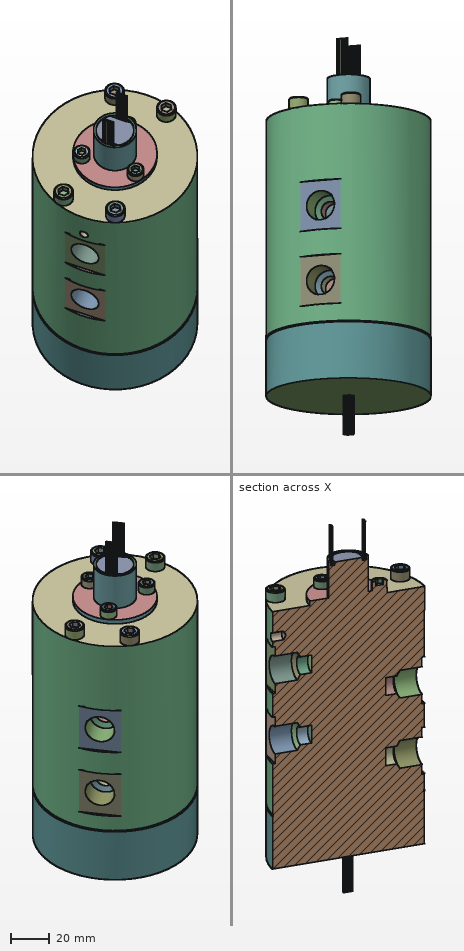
import cadquery as cq
import math

BODY_RADIUS = 43.0
BODY_HEIGHT = 146.6
BASE_HEIGHT = 30.1
JOINT_WIDTH = 0.6
JOINT_DEPTH = 0.5

FLANGE_DIAMETER = 44
FLANGE_HEIGHT = 2.5
SLEEVE_DIAMETER = 22.4
SLEEVE_BORE = 19.7
SLEEVE_HEIGHT = 20.3
WIRE_SLOT_DEPTH = 2
PLUG_RECESS = 0.5
PLUG_HALF_WIDTH = 8.0

BODY_BOLT_CIRCLE = 76.1
BODY_BOLT_ANGLES = (67.5, 112.5, 247.5, 292.5)
BODY_HEAD_DIAMETER = 10.0
BODY_HEAD_HEIGHT = 6.0
BODY_SOCKET_FLATS = 5.0
FLANGE_BOLT_CIRCLE = 35.0
FLANGE_BOLT_ANGLES = (90, 210, 330)
FLANGE_HEAD_DIAMETER = 8.5
FLANGE_HEAD_HEIGHT = 5.0
FLANGE_SOCKET_FLATS = 4.0
HEAD_CHAMFER = 0.6

PORT_SPACING = 40.0
FRONT_PORT_DROP = 33.5
BACK_PORT_DROP = FRONT_PORT_DROP + PORT_SPACING / 2
PAD_WIDTH = 22.4
PAD_HEIGHT = 26.4
PAD_DISTANCE = math.sqrt(BODY_RADIUS**2 - (PAD_WIDTH / 2) ** 2)
PORT_DIAMETER = 15.5
PORT_DEPTH = 12.5
PASSAGE_DIAMETER = 9.8
PASSAGE_DEPTH = 6.3
DRILL_POINT_ANGLE = 118

PIN_HOLE_DIAMETER = 4.5
PIN_HOLE_DEPTH = 6.3
PIN_HOLE_DROP = 14.6

WIRE_DIAMETER = 0.8
WIRE_PITCH = 0.88
ROW_COUNT = 7
ROW_OFFSET = 9.2
TOP_WIRE_LENGTH = 19.7
BOTTOM_WIRE_LENGTH = 20.0

FLANGE_TOP = BODY_HEIGHT + FLANGE_HEIGHT
SLEEVE_TOP = FLANGE_TOP + SLEEVE_HEIGHT


def cylinder(diameter, height, bottom):
    """Vertical cylinder on the body axis."""
    return cq.Workplane("XY").workplane(offset=bottom).circle(diameter / 2).extrude(height)


def drill_point_length(large_diameter, small_diameter=0):
    """Axial length of a drill point between two diameters."""
    step = (large_diameter - small_diameter) / 2
    return step / math.tan(math.radians(DRILL_POINT_ANGLE / 2))


def front_bore(profile, z):
    """Round cutter along +Y from its half profile of (radius, y) points."""
    return (
        cq.Workplane("XY")
        .polyline(profile)
        .close()
        .revolve(360, (0, 0), (0, 1))
        .translate((0, 0, z))
    )


def make_body():
    body = cylinder(2 * BODY_RADIUS, BODY_HEIGHT, 0)
    groove = cylinder(2 * BODY_RADIUS, JOINT_WIDTH, BASE_HEIGHT).cut(
        cylinder(2 * (BODY_RADIUS - JOINT_DEPTH), JOINT_WIDTH, BASE_HEIGHT)
    )
    return body.cut(groove)


def make_port_cutter(z):
    """Pad and stepped bore of one port on the -Y side."""
    pad_cut = cq.Workplane("XY").box(PAD_WIDTH, BODY_RADIUS, PAD_HEIGHT, centered=(True, False, True))
    pad_cut = pad_cut.translate((0, -PAD_DISTANCE - BODY_RADIUS, z))
    shoulder = -PAD_DISTANCE + PORT_DEPTH
    passage_start = shoulder + drill_point_length(PORT_DIAMETER, PASSAGE_DIAMETER)
    passage_end = passage_start + PASSAGE_DEPTH
    profile = [
        (0, -BODY_RADIUS),
        (PORT_DIAMETER / 2, -BODY_RADIUS),
        (PORT_DIAMETER / 2, shoulder),
        (PASSAGE_DIAMETER / 2, passage_start),
        (PASSAGE_DIAMETER / 2, passage_end),
        (0, passage_end),
    ]
    return pad_cut.union(front_bore(profile, z))


def make_pin_hole_cutter():
    bottom = -BODY_RADIUS + PIN_HOLE_DEPTH
    profile = [
        (0, -BODY_RADIUS),
        (PIN_HOLE_DIAMETER / 2, -BODY_RADIUS),
        (PIN_HOLE_DIAMETER / 2, bottom),
        (0, bottom + drill_point_length(PIN_HOLE_DIAMETER)),
    ]
    return front_bore(profile, BODY_HEIGHT - PIN_HOLE_DROP)


def make_sleeve():
    """Sleeve with a plug whose two flats leave a slot for each row of wires."""
    sleeve = cylinder(SLEEVE_DIAMETER, SLEEVE_HEIGHT, FLANGE_TOP)
    plug = cq.Workplane("XY").box(SLEEVE_BORE, 2 * PLUG_HALF_WIDTH, SLEEVE_TOP, centered=(True, True, False))
    recess = cylinder(SLEEVE_BORE, PLUG_RECESS, SLEEVE_TOP - PLUG_RECESS)
    slots = cylinder(SLEEVE_BORE, WIRE_SLOT_DEPTH, SLEEVE_TOP - WIRE_SLOT_DEPTH).cut(plug)
    return sleeve.cut(recess).cut(slots)


def make_screws(circle, angles, diameter, height, socket_flats, seat):
    """Socket heads standing at the given angles on a bolt circle."""
    socket_corners = socket_flats / math.cos(math.radians(30))
    head = (
        cq.Workplane("XY")
        .circle(diameter / 2)
        .extrude(height)
        .faces(">Z")
        .chamfer(HEAD_CHAMFER)
        .faces(">Z")
        .workplane()
        .polygon(6, socket_corners)
        .cutBlind(-height / 2)
    )
    screws = cq.Workplane("XY")
    for angle in angles:
        x = circle / 2 * math.cos(math.radians(angle))
        y = circle / 2 * math.sin(math.radians(angle))
        screws = screws.add(head.translate((x, y, seat)))
    return screws


def make_wire_rows():
    """Two rows of upright wires standing on the floors of the plug slots."""
    return (
        cq.Workplane("XY")
        .workplane(offset=SLEEVE_TOP - WIRE_SLOT_DEPTH)
        .rarray(WIRE_PITCH, 2 * ROW_OFFSET, ROW_COUNT, 2)
        .circle(WIRE_DIAMETER / 2)
        .extrude(WIRE_SLOT_DEPTH + TOP_WIRE_LENGTH)
    )


def make_wire_bundle():
    """Closely packed hexagonal bundle of wires hanging from the base."""
    bundle_rings = ROW_COUNT // 2
    layer_pitch = WIRE_PITCH * math.sin(math.radians(60))
    centers = []
    for layer in range(-bundle_rings, bundle_rings + 1):
        wires_in_layer = ROW_COUNT - abs(layer)
        for index in range(wires_in_layer):
            x = (index - (wires_in_layer - 1) / 2) * WIRE_PITCH
            centers.append((x, layer * layer_pitch))
    return cq.Workplane("XY").pushPoints(centers).circle(WIRE_DIAMETER / 2).extrude(-BOTTOM_WIRE_LENGTH)


result = make_body()
for drop in (FRONT_PORT_DROP, FRONT_PORT_DROP + PORT_SPACING):
    result = result.cut(make_port_cutter(BODY_HEIGHT - drop))
for drop in (BACK_PORT_DROP, BACK_PORT_DROP + PORT_SPACING):
    back_cutter = make_port_cutter(BODY_HEIGHT - drop).rotate((0, 0, 0), (0, 0, 1), 180)
    result = result.cut(back_cutter)
result = result.cut(make_pin_hole_cutter())

result = result.union(cylinder(FLANGE_DIAMETER, FLANGE_HEIGHT, BODY_HEIGHT))
result = result.union(make_sleeve())

body_screws = make_screws(
    BODY_BOLT_CIRCLE,
    BODY_BOLT_ANGLES,
    BODY_HEAD_DIAMETER,
    BODY_HEAD_HEIGHT,
    BODY_SOCKET_FLATS,
    BODY_HEIGHT,
)
flange_screws = make_screws(
    FLANGE_BOLT_CIRCLE,
    FLANGE_BOLT_ANGLES,
    FLANGE_HEAD_DIAMETER,
    FLANGE_HEAD_HEIGHT,
    FLANGE_SOCKET_FLATS,
    FLANGE_TOP,
)
for head in body_screws.vals() + flange_screws.vals():
    result = result.union(cq.Workplane(head))

for wire in make_wire_rows().vals() + make_wire_bundle().vals():
    result = result.union(cq.Workplane(wire))